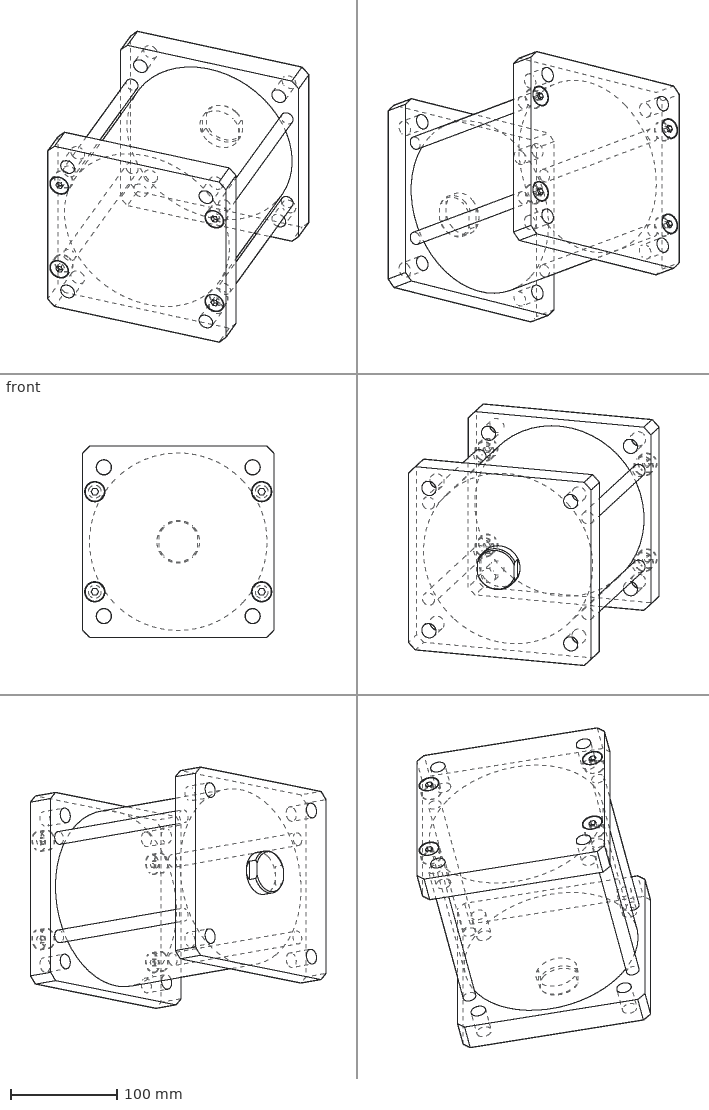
import cadquery as cq
import math

total_length = 224.0
plate_size = 180.0
plate_thickness = 26.0
plate_corner_circle = 245.0
rod_protrusion = 12.0

tube_diameter = 166.9

piston_rod_diameter = 40.0
piston_rod_chamfer_length = 2.0
piston_rod_chamfer_depth = 1.1
flats_width = 36.0

tie_rod_diameter = 12.0
tie_rod_x = 78.5
tie_rod_z = 47.0

mounting_hole_diameter = 14.0
mounting_hole_offset = 70.0

counterbore_diameter = 19.0
screw_head_diameter = 18.0
screw_head_recess = 0.2
counterbore_depth = 11.2
socket_across_flats = 6.0
socket_depth = 4.5

front_face = -total_length / 2
tube_start = front_face + plate_thickness
rod_tip = total_length / 2
rear_face = rod_tip - rod_protrusion
tube_end = rear_face - plate_thickness

tie_rod_points = [(x, z) for x in (-tie_rod_x, tie_rod_x) for z in (-tie_rod_z, tie_rod_z)]
mounting_points = [
    (x, z)
    for x in (-mounting_hole_offset, mounting_hole_offset)
    for z in (-mounting_hole_offset, mounting_hole_offset)
]


def section_at(y):
    """XZ workplane at station y, extruding toward +Y, with local axes X and -Z."""
    return cq.Workplane(cq.Plane(origin=(0, y, 0), xDir=(1, 0, 0), normal=(0, 1, 0)))


def cylinders(points, diameter, start, end):
    return section_at(start).pushPoints(points).circle(diameter / 2).extrude(end - start)


def end_plate(start):
    """Square plate with corners trimmed to a circle and four mounting through holes."""
    end = start + plate_thickness
    plate = section_at(start).rect(plate_size, plate_size).extrude(plate_thickness)
    plate = plate.intersect(cylinders([(0, 0)], plate_corner_circle, start, end))
    return plate.cut(cylinders(mounting_points, mounting_hole_diameter, start, end))


def piston_rod():
    """Round rod end with a chamfered tip and two wrench flats facing +X and -X.

    Each flat runs out through a 45 degree slope that meets the round rod at the plate.
    """
    rod = section_at(rear_face).circle(piston_rod_diameter / 2).extrude(rod_protrusion)
    rod = rod.faces(">Y").edges().chamfer(piston_rod_chamfer_length, piston_rod_chamfer_depth)
    flat_x = flats_width / 2
    rod_radius = piston_rod_diameter / 2
    flat_start = rear_face + rod_radius - flat_x
    flat_cut = (
        cq.Workplane("XY")
        .polyline([(rod_radius, rear_face), (rod_radius, rod_tip), (flat_x, rod_tip), (flat_x, flat_start)])
        .close()
        .extrude(rod_radius, both=True)
    )
    return rod.cut(flat_cut).cut(flat_cut.mirror("YZ"))


def screw_heads():
    """Sunk screw heads with hexagon sockets, two socket corners pointing along X."""
    head_face = front_face + screw_head_recess
    heads = cylinders(tie_rod_points, screw_head_diameter, head_face, front_face + counterbore_depth)
    socket_across_corners = socket_across_flats / math.cos(math.pi / 6)
    sockets = (
        section_at(head_face)
        .pushPoints(tie_rod_points)
        .polygon(6, socket_across_corners)
        .extrude(socket_depth)
    )
    return heads.cut(sockets)


counterbores = cylinders(
    tie_rod_points, counterbore_diameter, front_face, front_face + counterbore_depth
)
tube = section_at(tube_start).circle(tube_diameter / 2).extrude(tube_end - tube_start)

result = (
    end_plate(front_face)
    .cut(counterbores)
    .union(screw_heads())
    .union(tube)
    .union(cylinders(tie_rod_points, tie_rod_diameter, tube_start, tube_end))
    .union(end_plate(tube_end))
    .union(piston_rod())
)